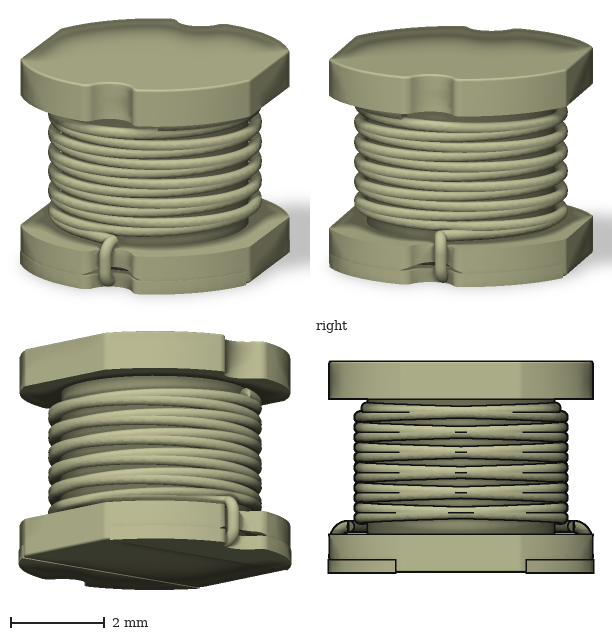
import cadquery as cq
import math

BODY_WIDTH = 5.2
FLANGE_RADIUS = 2.89
FLANGE_THICKNESS = 0.81
TOTAL_HEIGHT = 4.52
CORE_RADIUS = 2.0
CORNER_RADIUS = 0.2
RIM_RADIUS = 0.05

NOTCH_RADIUS = 0.5
NOTCH_CENTER = 2.93

PLATING = 0.02
TERMINAL_HEIGHT = 0.29
TERMINAL_INNER_Y = 1.39

ARCH_HALF_WIDTH = 0.72
ARCH_RISE = 0.147
RELIEF_DEPTH = 0.12
RELIEF_BACK_HEIGHT = 0.05

WIRE_RADIUS = 0.125
COIL_RADIUS = 2.155
PITCH = 0.429
COIL_CROSSING_Z = 1.074
COIL_START_X = -0.94
COIL_END_X = 0.78
STRAND_COUNT = 11

LEAD_X = -0.175
LEAD_Y = 2.68
LEAD_KINK_X = -0.1
LEAD_KINK_Y = 2.39
LOWER_BEND_RADIUS = 0.25
LEAD_END_Y = 2.3

FERRITE_BOTTOM = PLATING
UPPER_FLANGE_BOTTOM = TOTAL_HEIGHT - FLANGE_THICKNESS


def flange_blank(bottom, height, growth=0.0):
    """Flatted disc with two rounded notches; growth enlarges the disc and its flats."""
    disc = cq.Workplane("XY").circle(FLANGE_RADIUS + growth).extrude(height)
    flats = cq.Workplane("XY").box(
        BODY_WIDTH + 2 * growth, 3 * FLANGE_RADIUS, height, centered=(True, True, False)
    )
    notches = (
        cq.Workplane("XY")
        .pushPoints([(0, NOTCH_CENTER), (0, -NOTCH_CENTER)])
        .circle(NOTCH_RADIUS)
        .extrude(height)
    )
    blank = disc.intersect(flats).cut(notches)
    return blank.edges("|Z").fillet(CORNER_RADIUS).translate((0, 0, bottom))


def ferrite():
    """Drum core: two flanges joined by a round post."""
    lower = flange_blank(FERRITE_BOTTOM, FLANGE_THICKNESS).faces("<Z").edges().fillet(RIM_RADIUS)
    upper = flange_blank(UPPER_FLANGE_BOTTOM, FLANGE_THICKNESS).faces(">Z").edges().fillet(RIM_RADIUS)
    post = (
        cq.Workplane("XY")
        .workplane(offset=FERRITE_BOTTOM + FLANGE_THICKNESS / 2)
        .circle(CORE_RADIUS)
        .extrude(TOTAL_HEIGHT - FERRITE_BOTTOM - FLANGE_THICKNESS)
    )
    return lower.union(post).union(upper)


def relief():
    """Shallow arched space between the -Y terminal and the ferrite, with a sloping roof."""
    notch_bottom = NOTCH_CENTER - NOTCH_RADIUS
    back = notch_bottom - RELIEF_DEPTH
    roof = (
        cq.Workplane("YZ")
        .moveTo(-FLANGE_RADIUS, TERMINAL_HEIGHT)
        .lineTo(-back, TERMINAL_HEIGHT)
        .lineTo(-back, TERMINAL_HEIGHT + RELIEF_BACK_HEIGHT)
        .lineTo(-notch_bottom, TERMINAL_HEIGHT + ARCH_RISE)
        .lineTo(-FLANGE_RADIUS, TERMINAL_HEIGHT + ARCH_RISE)
        .close()
        .extrude(ARCH_HALF_WIDTH, both=True)
    )
    arch = (
        cq.Workplane("XZ")
        .moveTo(-ARCH_HALF_WIDTH, TERMINAL_HEIGHT)
        .threePointArc((0, TERMINAL_HEIGHT + ARCH_RISE), (ARCH_HALF_WIDTH, TERMINAL_HEIGHT))
        .close()
        .extrude(FLANGE_RADIUS)
    )
    return roof.intersect(arch)


def terminal():
    """The -Y terminal, a slab slightly larger than the flange it wraps."""
    end_region = cq.Workplane("XY").box(
        2 * FLANGE_RADIUS, FLANGE_RADIUS, TERMINAL_HEIGHT, centered=(True, False, False)
    ).translate((0, -TERMINAL_INNER_Y - FLANGE_RADIUS, 0))
    return flange_blank(0, TERMINAL_HEIGHT, PLATING).intersect(end_region)


STRAND_RISE = PITCH / 2
HALF_TURN = 180
START_ANGLE = math.degrees(math.acos(-COIL_START_X / COIL_RADIUS))
END_ANGLE = math.degrees(math.acos(COIL_END_X / COIL_RADIUS))
START_Y = -COIL_RADIUS * math.sin(math.radians(START_ANGLE))
START_Z = COIL_CROSSING_Z - STRAND_RISE * START_ANGLE / HALF_TURN


def strand(level, first, last, joins_below, joins_above):
    """Wire between two angles of one strand, trimmed flat where it joins its neighbours.

    Even levels rise from the -X side, odd levels from the +X side.
    """
    rise = STRAND_RISE * (last - first) / HALF_TURN
    path = cq.Wire.makeHelix(PITCH, rise, COIL_RADIUS)
    wire = cq.Workplane("XZ").center(COIL_RADIUS, 0).circle(WIRE_RADIUS).sweep(path, isFrenet=True)
    wire = wire.rotate((0, 0, 0), (0, 0, 1), HALF_TURN + first)
    wire = wire.translate((0, 0, STRAND_RISE * first / HALF_TURN))
    bottom = 0 if joins_below else -PITCH
    top = STRAND_RISE if joins_above else PITCH
    span = 3 * COIL_RADIUS
    layer = cq.Workplane("XY").box(span, span, top - bottom, centered=(True, True, False))
    wire = wire.intersect(layer.translate((0, 0, bottom)))
    if level % 2:
        wire = wire.mirror("YZ")
    return wire.translate((0, 0, COIL_CROSSING_Z + STRAND_RISE * level))


def front_coil():
    """The -Y half of both windings.

    The lowest and highest full strands are in two lengths, since the short first and last
    pieces of wire lie against only part of them.
    """
    highest = STRAND_COUNT - 1
    strands = [
        strand(-1, HALF_TURN - START_ANGLE, HALF_TURN, False, True),
        strand(0, 0, START_ANGLE, True, True),
        strand(0, START_ANGLE, HALF_TURN, False, True),
    ]
    for level in range(1, highest):
        strands.append(strand(level, 0, HALF_TURN, True, True))
    strands += [
        strand(highest, 0, HALF_TURN - END_ANGLE, True, False),
        strand(highest, HALF_TURN - END_ANGLE, HALF_TURN, True, True),
        strand(highest + 1, 0, END_ANGLE, True, False),
    ]
    solids = [piece.val() for piece in strands]
    return cq.Workplane(obj=solids[0].fuse(*solids[1:]))


def lead_run():
    """Straight wire from the end face of the coil to the kink of the lead."""
    radial = cq.Plane(
        origin=(COIL_START_X, START_Y, START_Z), xDir=(0, 0, 1), normal=(-START_Y, COIL_START_X, 0)
    )
    section = cq.Face.makeFromWires(cq.Workplane(radial).circle(WIRE_RADIUS).wires().val())
    reach = cq.Vector(LEAD_KINK_X - COIL_START_X, -LEAD_KINK_Y - START_Y, 0)
    return cq.Workplane(obj=cq.Solid.extrudeLinear(section, reach))


def lead_hook():
    """Wire that turns out over the -Y notch, drops through it and hooks back into the terminal."""
    kink = cq.Vector(LEAD_KINK_X, -LEAD_KINK_Y, START_Z)
    outward = cq.Vector(LEAD_X - LEAD_KINK_X, LEAD_KINK_Y - LEAD_Y, 0)
    down = cq.Vector(0, 0, -1)
    drop_top = kink + outward + down * outward.Length
    drop_bottom = cq.Vector(LEAD_X, -LEAD_Y, WIRE_RADIUS + LOWER_BEND_RADIUS)
    foot = cq.Vector(LEAD_X, LOWER_BEND_RADIUS - LEAD_Y, WIRE_RADIUS)
    tip = cq.Vector(LEAD_X, -LEAD_END_Y, WIRE_RADIUS)
    path = cq.Wire.assembleEdges([
        cq.Edge.makeTangentArc(kink, outward, drop_top),
        cq.Edge.makeLine(drop_top, drop_bottom),
        cq.Edge.makeTangentArc(drop_bottom, down, foot),
        cq.Edge.makeLine(foot, tip),
    ])
    section = cq.Workplane(cq.Plane(origin=kink, normal=outward)).circle(WIRE_RADIUS)
    return section.sweep(cq.Workplane(obj=path), isFrenet=True)


def mirrored_pair(shape):
    return shape.union(shape.mirror("XZ"))


front_wire = front_coil().union(lead_run()).union(lead_hook())
result = (
    ferrite()
    .cut(mirrored_pair(relief()))
    .union(mirrored_pair(terminal()))
    .union(mirrored_pair(front_wire))
)